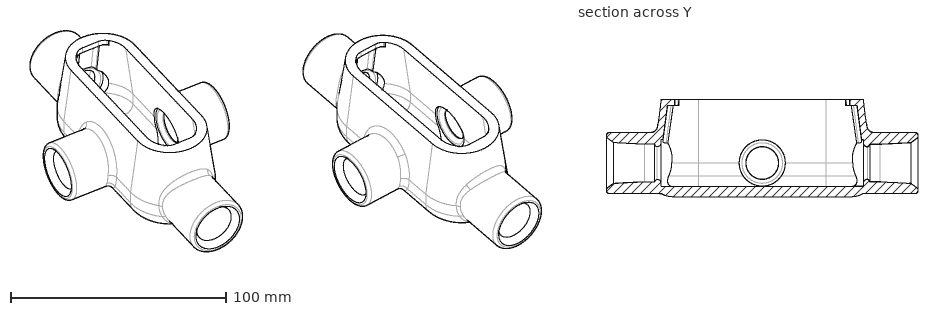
import cadquery as cq
import math

body_height = 45.3
axis_height = 15.8
end_center = 29.7
base_radius = 21.3
rim_radius = 17.4
bottom_round = 9.3
wall = 4.9
floor_round = 4.8

lug_face = 40.5
lug_width = 17.4
lug_depth = 2.9
lug_corner_round = 5.8

hub_radius = 28.5 / 2
hub_reach_x = 72.4
hub_reach_y = 85.3 / 2
hub_fillet = 2.9
rim_round = 1.5

mouth_radius = 11.9
mouth_depth = 3.3
socket_radius = 9.4
socket_end_radius = 8.7
taper_start = 8.7
throat_radius = 7.5
relief_radius = 21.5 / 2
relief_depth = 0.9
throat_lip = 1.9
throat_round = socket_end_radius - throat_radius

recess_width = 10.7
recess_depth = 1.5
recess_round = 1.6

seam_turn = 45
joint_tolerance = 0.03

draft_angle = math.degrees(math.atan((base_radius - rim_radius) / (body_height - axis_height)))


def slot(radius, base_z):
    """Workplane holding a round-ended outline of the given end radius."""
    return cq.Workplane("XY", origin=(0, 0, base_z)).slot2D(2 * (end_center + radius), 2 * radius)


def drafted_trough(radius, bottom_z, round_radius):
    """Solid trough shape: straight lower part with a rounded bottom, drafted upper part."""
    lower = slot(radius, bottom_z).extrude(axis_height - bottom_z).faces("<Z").edges().fillet(round_radius)
    upper = slot(radius, axis_height).extrude(body_height - axis_height, taper=draft_angle)
    return lower.union(upper)


def hub_bar(reach):
    """Round bar along X with rounded ends; its two ends form a pair of opposite hubs."""
    bar = cq.Workplane("YZ", origin=(-reach, 0, axis_height)).circle(hub_radius).extrude(2 * reach)
    bar = bar.faces("<X or >X").edges().fillet(rim_round)
    return bar.rotate((0, 0, axis_height), (1, 0, axis_height), seam_turn)


def hub_bore(reach, cavity_wall):
    """Bore of the +X hub: mouth cone, socket, rounded throat and relief into the cavity."""
    relief_end = cavity_wall + relief_depth
    throat_middle = relief_end + throat_lip
    throat_end = throat_middle + throat_round
    bore = (
        cq.Workplane("XY")
        .moveTo(cavity_wall - wall, 0)
        .lineTo(cavity_wall - wall, relief_radius)
        .lineTo(relief_end, relief_radius)
        .lineTo(relief_end, throat_radius + throat_lip)
        .radiusArc((throat_middle, throat_radius), -throat_lip)
        .radiusArc((throat_end, socket_end_radius), -throat_round)
        .lineTo(cavity_wall + taper_start, socket_end_radius)
        .lineTo(reach - mouth_depth, socket_radius)
        .lineTo(reach, mouth_radius)
        .lineTo(reach, 0)
        .close()
        .revolve(360, (0, 0, 0), (1, 0, 0))
        .translate((0, 0, axis_height))
    )
    return bore.rotate((0, 0, axis_height), (1, 0, axis_height), seam_turn)


def turned(solid, angle):
    """Turn a solid about the vertical axis."""
    return solid.rotate((0, 0, 0), (0, 0, 1), angle)


def is_hub_joint(edge):
    """True for an edge that lies on a hub's outer surface where it meets the body."""
    if edge.geomType() == "LINE":
        return False
    center = edge.BoundingBox().center
    if abs(center.x) > hub_reach_x - 2 * rim_round or abs(center.y) > hub_reach_y - 2 * rim_round:
        return False
    points = [edge.positionAt(fraction) for fraction in (0.1, 0.3, 0.6, 0.9)]
    off_x_hub = max(abs(math.hypot(p.y, p.z - axis_height) - hub_radius) for p in points)
    off_y_hub = max(abs(math.hypot(p.x, p.z - axis_height) - hub_radius) for p in points)
    return min(off_x_hub, off_y_hub) < joint_tolerance


outer = drafted_trough(base_radius, 0, bottom_round)
outer = outer.union(hub_bar(hub_reach_x)).union(turned(hub_bar(hub_reach_y), 90))
joints = [edge for edge in outer.edges().vals() if is_hub_joint(edge)]
outer = outer.newObject([outer.solids().val().fillet(hub_fillet, joints)])

cavity_radius = base_radius - wall
opening_radius = rim_radius - wall
cavity = drafted_trough(cavity_radius, wall, floor_round)
lug_bottom = body_height - lug_depth
lug_zone = (
    cq.Workplane("XY", origin=(0, 0, lug_bottom))
    .rect(2 * (end_center + rim_radius), lug_width)
    .extrude(lug_depth)
)
lug_opening = slot(opening_radius, lug_bottom).extrude(lug_depth).intersect(
    cq.Workplane("XY", origin=(0, 0, lug_bottom)).rect(2 * lug_face, lug_width).extrude(lug_depth)
)
lug_opening = lug_opening.faces("<X or >X").edges("|Z").fillet(lug_corner_round)
cavity = cavity.cut(lug_zone.cut(lug_opening))

recess_height = lug_bottom - axis_height
recess_reach = end_center + cavity_radius + recess_depth
recess_lean = recess_height * math.tan(math.radians(draft_angle))
recess = (
    cq.Workplane("XZ", origin=(0, recess_width / 2, 0))
    .polyline(
        [
            (-recess_reach, axis_height),
            (recess_reach, axis_height),
            (recess_reach - recess_lean, lug_bottom),
            (recess_lean - recess_reach, lug_bottom),
        ]
    )
    .close()
    .extrude(recess_width)
)
recess = recess.faces("<X or >X").edges("not #Z").edges("not |Y").fillet(recess_round)

result = outer.cut(cavity).cut(recess)
for angle in (0, 180):
    result = result.cut(turned(hub_bore(hub_reach_x, end_center + cavity_radius), angle))
for angle in (90, 270):
    result = result.cut(turned(hub_bore(hub_reach_y, cavity_radius), angle))